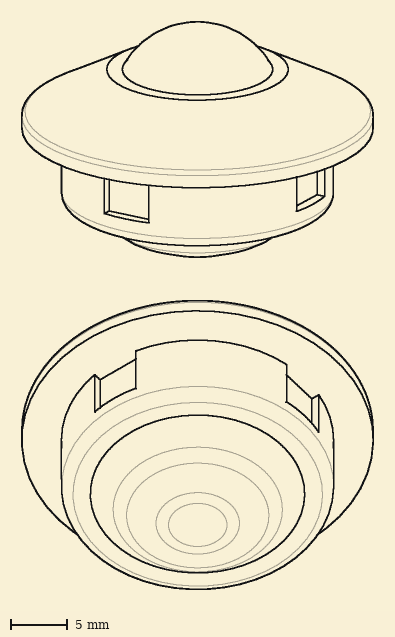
import cadquery as cq


ball_diameter = 15.0
ball_exposed_height = 4.0

flange_diameter = 31.0
cap_height = 5.5
cap_top_diameter = 16.0
rim_height = 1.45
rim_fillet = 0.5

body_diameter = 24.0
body_depth = 7.0
body_fillet = 1.0

cup_top_diameter = 18.9
cup_shoulder_diameter = 13.9
cup_bottom_diameter = 6.3
cup_shoulder_drop = 2.5
cup_depth = 4.0
cup_shoulder_fillet = 3.5
cup_bottom_fillet = 3.0

pocket_count = 4
pocket_width = 4.6
pocket_height = 4.85
pocket_depth = 1.0


def make_cap():
    """Flange rim and the cone above it, with the rim edge rounded."""
    profile = [
        (0, 0),
        (flange_diameter / 2, 0),
        (flange_diameter / 2, rim_height),
        (cap_top_diameter / 2, cap_height),
        (0, cap_height),
    ]
    cap = cq.Workplane("XZ").polyline(profile).close().revolve(360, (0, 0), (0, 1))
    rim_edge = cq.selectors.RadiusNthSelector(-1)
    return cap.edges("%CIRCLE").edges(rim_edge).edges(">Z").fillet(rim_fillet)


def make_body():
    """Cylinder below the flange, rounded at its lower edge."""
    body = cq.Workplane("XY").circle(body_diameter / 2).extrude(-body_depth)
    return body.faces("<Z").edges().fillet(body_fillet)


def make_cup():
    """Double cone below the body, rounded at the shoulder and the bottom."""
    shoulder_z = -body_depth - cup_shoulder_drop
    bottom_z = -body_depth - cup_depth
    profile = [
        (0, -body_depth),
        (cup_top_diameter / 2, -body_depth),
        (cup_shoulder_diameter / 2, shoulder_z),
        (cup_bottom_diameter / 2, bottom_z),
        (0, bottom_z),
    ]
    cup = cq.Workplane("XZ").polyline(profile).close().revolve(360, (0, 0), (0, 1))
    shoulder_edge = cq.selectors.RadiusNthSelector(1)
    cup = cup.edges("%CIRCLE").edges(shoulder_edge).fillet(cup_shoulder_fillet)
    return cup.faces("<Z").edges().fillet(cup_bottom_fillet)


def make_ball():
    """Ball standing proud of the cap."""
    ball_radius = ball_diameter / 2
    center_z = cap_height + ball_exposed_height - ball_radius
    return cq.Workplane("XY").sphere(ball_radius).translate((0, 0, center_z))


def cut_pockets(part):
    """Cut the pockets directly below the flange, evenly spaced from the X axis."""
    floor_distance = body_diameter / 2 - pocket_depth
    pocket = cq.Workplane("XY").box(
        2 * pocket_depth, pocket_width, pocket_height, centered=(False, True, False)
    )
    pocket = pocket.translate((floor_distance, 0, -pocket_height))
    for index in range(pocket_count):
        angle = index * 360 / pocket_count
        part = part.cut(pocket.rotate((0, 0, 0), (0, 0, 1), angle))
    return part


housing = make_cap().union(make_body()).union(make_cup())
result = cut_pockets(housing.union(make_ball()))